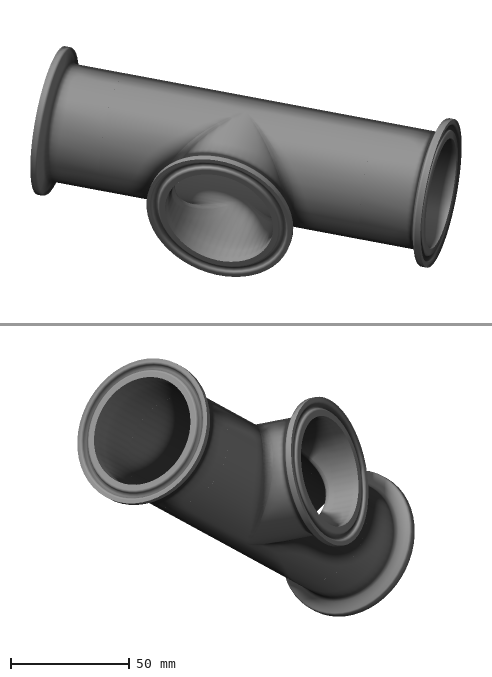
import cadquery as cq
import math

run_length = 171.4
flange_diameter = 64.0
overall_depth = 73.2
tube_outer_diameter = 50.7
tube_inner_diameter = 47.5
run_ferrule_length = 28.5
branch_ferrule_length = 12.5

flange_back_angle = 20.0
rim_thickness = 2.2
rim_round_radius = 1.0
neck_end = 6.7

groove_mean_radius = 28.3
groove_bottom_radius = 1.2
groove_lip_radius = 1.0
groove_wall_angle = 73.0

crotch_outer_radius = 3.0
crotch_inner_radius = 3.0

flange_radius = flange_diameter / 2
tube_outer_radius = tube_outer_diameter / 2
tube_inner_radius = tube_inner_diameter / 2
run_face = run_length / 2
branch_face = overall_depth - flange_radius
tee_run_half = run_face - run_ferrule_length
tee_branch_reach = branch_face - branch_ferrule_length


def arc_point(center, radius, angle):
    """Point on a circle, with the angle in degrees from the radial direction."""
    a = math.radians(angle)
    return (center[0] + radius * math.cos(a), center[1] + radius * math.sin(a))


def make_groove():
    """Ring to cut from a flange face at z = 0: a round bottom with rounded lips."""
    wall = math.radians(groove_wall_angle)
    radius_sum = groove_bottom_radius + groove_lip_radius
    half_width = radius_sum * math.sin(wall)
    depth = radius_sum * (1 - math.cos(wall))
    bottom_center = (groove_mean_radius, depth - groove_bottom_radius)
    inner_lip_center = (groove_mean_radius - half_width, groove_lip_radius)
    outer_lip_center = (groove_mean_radius + half_width, groove_lip_radius)
    half_wall = groove_wall_angle / 2
    return (
        cq.Workplane("XZ")
        .moveTo(groove_mean_radius - half_width, 0)
        .threePointArc(
            arc_point(inner_lip_center, groove_lip_radius, half_wall - 90),
            arc_point(inner_lip_center, groove_lip_radius, groove_wall_angle - 90),
        )
        .threePointArc(
            (groove_mean_radius, depth),
            arc_point(bottom_center, groove_bottom_radius, 90 - groove_wall_angle),
        )
        .threePointArc(
            arc_point(outer_lip_center, groove_lip_radius, -90 - half_wall),
            (groove_mean_radius + half_width, 0),
        )
        .close()
        .revolve(360, (0, 0, 0), (0, 1, 0))
    )


def make_ferrule(length):
    """Clamp ferrule along Z with its sealing face at z = 0."""
    slope = math.radians(flange_back_angle)
    turn = 90 - flange_back_angle

    rim_center = (flange_radius - rim_round_radius, rim_thickness)
    rim_middle = arc_point(rim_center, rim_round_radius, turn / 2)
    back_start = arc_point(rim_center, rim_round_radius, turn)

    rise = neck_end - back_start[1]
    run = back_start[0] - tube_outer_radius
    neck_radius = (rise - run * math.tan(slope)) * math.cos(slope) / (1 - math.sin(slope))
    neck_center = (tube_outer_radius + neck_radius, neck_end)
    back_end = arc_point(neck_center, neck_radius, turn - 180)
    neck_middle = arc_point(neck_center, neck_radius, turn / 2 - 180)

    body = (
        cq.Workplane("XZ")
        .moveTo(tube_inner_radius, 0)
        .lineTo(flange_radius, 0)
        .lineTo(flange_radius, rim_thickness)
        .threePointArc(rim_middle, back_start)
        .lineTo(*back_end)
        .threePointArc(neck_middle, (tube_outer_radius, neck_end))
        .lineTo(tube_outer_radius, length)
        .lineTo(tube_inner_radius, length)
        .close()
        .revolve(360, (0, 0, 0), (0, 1, 0))
    )
    return body.cut(make_groove())


def make_tee_shape(radius, crotch_radius):
    """Solid run and branch cylinders of the same radius, blended where they meet."""
    run = cq.Workplane("YZ").circle(radius).extrude(tee_run_half, both=True)
    branch = cq.Workplane("XZ").circle(radius).extrude(tee_branch_reach)
    shape = run.union(branch)
    crotch_edges = shape.edges("%ELLIPSE")
    return crotch_edges.fillet(crotch_radius)


def make_tee():
    outside = make_tee_shape(tube_outer_radius, crotch_outer_radius)
    bore = make_tee_shape(tube_inner_radius, crotch_inner_radius)
    return outside.cut(bore)


tee = make_tee()
run_ferrule = make_ferrule(run_ferrule_length)
left_ferrule = run_ferrule.rotate((0, 0, 0), (0, 1, 0), 90).translate((-run_face, 0, 0))
right_ferrule = run_ferrule.rotate((0, 0, 0), (0, 1, 0), -90).translate((run_face, 0, 0))
branch_ferrule = (
    make_ferrule(branch_ferrule_length)
    .rotate((0, 0, 0), (1, 0, 0), -90)
    .translate((0, -branch_face, 0))
)

result = cq.Compound.makeCompound([
    tee.val(),
    left_ferrule.val(),
    right_ferrule.val(),
    branch_ferrule.val(),
])